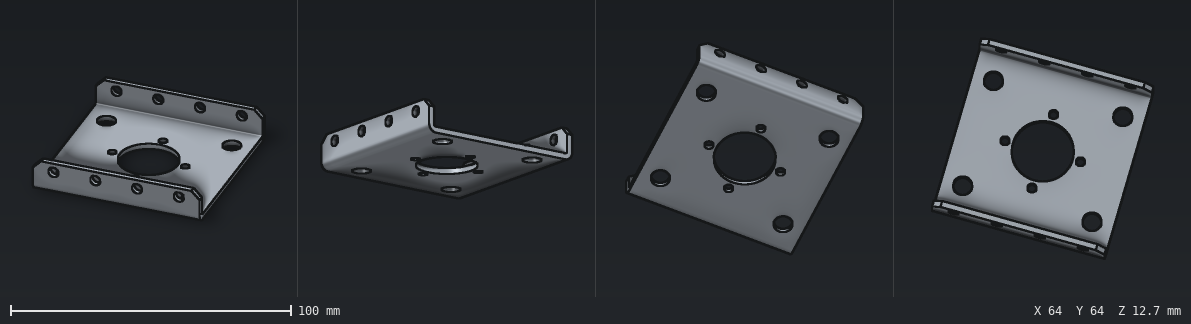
import cadquery as cq

length = 64.0
width = 64.0
height = 12.7
thickness = 2.286
inner_bend_radius = 0.74
outer_bend_radius = inner_bend_radius + thickness
flange_corner_chamfer = 3.175

center_hole_diameter = 22.1
small_hole_diameter = 3.175
small_hole_circle_radius = 14.0
small_hole_count = 4
corner_hole_diameter = 6.75
corner_hole_spacing_x = 48.0
corner_hole_spacing_y = 40.0
corner_holes_per_row = 2

flange_hole_diameter = 3.81
flange_hole_pitch = 16.0
flange_hole_count = 4
flange_hole_height = 9.15


def make_channel():
    """U-shaped bent sheet, centred in X and Y with its underside at Z = 0."""
    outer = (
        cq.Workplane("XY")
        .box(length, width, height, centered=(True, True, False))
        .edges("|X and <Z")
        .fillet(outer_bend_radius)
    )
    inner = (
        cq.Workplane("XY")
        .workplane(offset=thickness)
        .box(length, width - 2 * thickness, height, centered=(True, True, False))
        .edges("|X and <Z")
        .fillet(inner_bend_radius)
    )
    return outer.cut(inner)


def chamfer_flange_corners(body):
    """Bevel the upper corners at both ends of each flange."""
    return body.faces(">Z").edges("|Y").chamfer(flange_corner_chamfer)


def cut_base_holes(body):
    """Central opening, four small holes around it and four corner holes."""
    base = cq.Workplane("XY")
    center_hole = base.circle(center_hole_diameter / 2).extrude(thickness)
    small_holes = (
        base.polarArray(small_hole_circle_radius, 0, 360, small_hole_count)
        .circle(small_hole_diameter / 2)
        .extrude(thickness)
    )
    corner_holes = (
        base.rarray(corner_hole_spacing_x, corner_hole_spacing_y, corner_holes_per_row, corner_holes_per_row)
        .circle(corner_hole_diameter / 2)
        .extrude(thickness)
    )
    return body.cut(center_hole).cut(small_holes).cut(corner_holes)


def cut_flange_holes(body):
    """A row of holes running straight through both flanges."""
    holes = (
        cq.Workplane("XZ", origin=(0, 0, flange_hole_height))
        .rarray(flange_hole_pitch, 1, flange_hole_count, 1)
        .circle(flange_hole_diameter / 2)
        .extrude(width / 2, both=True)
    )
    return body.cut(holes)


channel = make_channel()
channel = chamfer_flange_corners(channel)
channel = cut_base_holes(channel)
result = cut_flange_holes(channel)